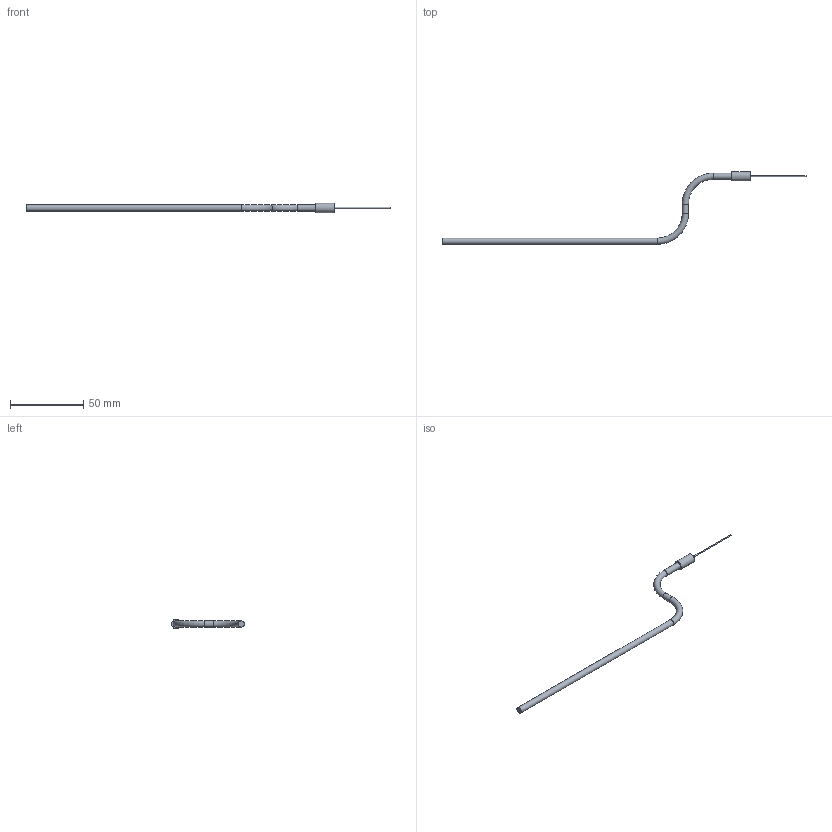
import cadquery as cq

overall_length = 249.07
overall_width = 49.76

rod_diameter = 4.27
bend_radius = 19.05
short_leg = 12.7

collar_diameter = 6.35
collar_length = 12.7
wire_diameter = 0.88
wire_length = 38.1

long_leg = overall_length - wire_length - collar_length - short_leg - 2 * bend_radius
side_offset = overall_width - (rod_diameter + collar_diameter) / 2
middle_x = long_leg + bend_radius
upper_bend_end_x = middle_x + bend_radius
collar_start_x = upper_bend_end_x + short_leg
collar_end_x = collar_start_x + collar_length


def make_rod():
    """Round rod with two opposite 90-degree bends in the XY plane."""
    centreline = (
        cq.Workplane("XY")
        .lineTo(long_leg, 0)
        .tangentArcPoint((middle_x, bend_radius), relative=False)
        .lineTo(middle_x, side_offset - bend_radius)
        .tangentArcPoint((upper_bend_end_x, side_offset), relative=False)
        .lineTo(collar_start_x, side_offset)
    )
    return cq.Workplane("YZ").circle(rod_diameter / 2).sweep(centreline)


def make_end_cylinder(start_x, diameter, length):
    """Cylinder along X on the axis of the short leg."""
    return (
        cq.Workplane("YZ", origin=(start_x, side_offset, 0))
        .circle(diameter / 2)
        .extrude(length)
    )


rod = make_rod()
collar = make_end_cylinder(collar_start_x, collar_diameter, collar_length)
wire = make_end_cylinder(collar_end_x, wire_diameter, wire_length)

result = rod.union(collar).union(wire)